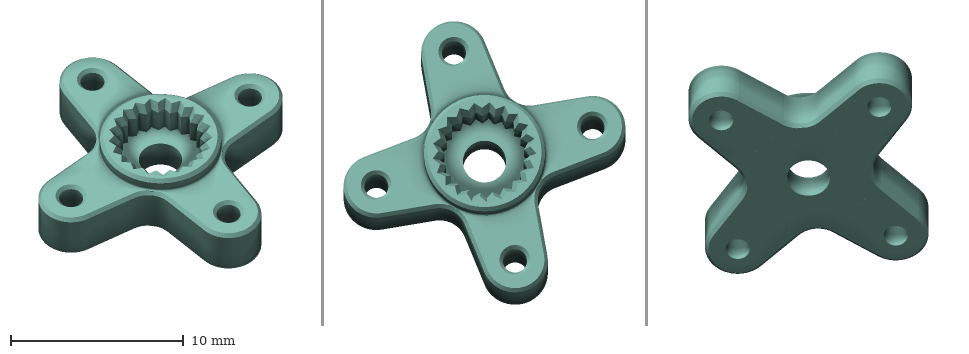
import cadquery as cq
import math

span = 16.79
arm_count = 4
plate_height = 3.0
total_height = 3.8

tip_radius = 1.9
tip_offset = span / 2 - tip_radius
core_radius = 2.57
root_fillet = 1.56
edge_chamfer = 0.2

screw_hole_diameter = 1.4
screw_hole_chamfer = 0.2
countersink_angle = 90

boss_radius = 7.0 / 2
boss_chamfer = 0.2
boss_fillet = 0.1
base_radius = boss_radius + boss_fillet
bore_diameter = 2.5

tooth_count = 21
crest_radius = 4.6 / 2
root_radius = 5.2 / 2
socket_depth = 2.0
lead_in_width = 0.3
lead_in_depth = 0.5


def polar(radius, angle, center=(0, 0)):
    return (center[0] + radius * math.cos(angle), center[1] + radius * math.sin(angle))


def horn_outline():
    """Tapered arms with round tips, joined by one concave fillet between each pair of arms."""
    turn = 2 * math.pi / arm_count
    side_angle = math.acos((core_radius - tip_radius) / tip_offset)
    fillet_orbit = (core_radius + root_fillet) / math.cos(side_angle - turn / 2)

    first_tip = polar(tip_offset, 0)
    outline = cq.Workplane("XY").moveTo(*polar(tip_radius, -side_angle, first_tip))
    for arm in range(arm_count):
        heading = arm * turn
        next_heading = heading + turn
        tip_center = polar(tip_offset, heading)
        next_tip_center = polar(tip_offset, next_heading)
        fillet_heading = heading + turn / 2
        fillet_center = polar(fillet_orbit, fillet_heading)
        fillet_start = polar(root_fillet, heading + side_angle + math.pi, fillet_center)
        fillet_middle = polar(root_fillet, fillet_heading + math.pi, fillet_center)
        fillet_end = polar(root_fillet, next_heading - side_angle + math.pi, fillet_center)
        outline = (
            outline.threePointArc(
                polar(span / 2, heading), polar(tip_radius, heading + side_angle, tip_center)
            )
            .lineTo(*fillet_start)
            .threePointArc(fillet_middle, fillet_end)
        )
        if arm < arm_count - 1:
            outline = outline.lineTo(*polar(tip_radius, next_heading - side_angle, next_tip_center))
    return outline.close()


def make_horn():
    """Four-armed plate with chamfered edges, countersunk screw holes and a hole for the insert."""
    plate = horn_outline().extrude(plate_height).faces("<Z or >Z").edges().chamfer(edge_chamfer)
    plate = (
        plate.faces(">Z")
        .workplane(origin=(0, 0, plate_height))
        .polarArray(tip_offset, 0, 360, arm_count)
        .cskHole(screw_hole_diameter, screw_hole_diameter + 2 * screw_hole_chamfer, countersink_angle)
    )
    insert_hole = cq.Workplane("XY").circle(base_radius).extrude(plate_height)
    return plate.cut(insert_hole)


def spline_points(margin):
    """Zigzag of straight flanks, one root on the +X axis, with every flank moved out by margin."""
    half_pitch = math.pi / tooth_count
    crest_x, crest_y = polar(crest_radius, half_pitch)
    flank_angle = math.atan2(crest_y, root_radius - crest_x)
    moved_root = root_radius + margin / math.sin(flank_angle)
    moved_crest = crest_radius + margin / math.sin(flank_angle + half_pitch)
    points = []
    for tooth in range(tooth_count):
        root_angle = 2 * half_pitch * tooth
        points.append(polar(moved_root, root_angle))
        points.append(polar(moved_crest, root_angle + half_pitch))
    return points


def make_socket():
    """Solid to be cut away: straight spline with a sloped lead-in at the mouth."""
    straight = (
        cq.Workplane("XY", origin=(0, 0, total_height - socket_depth))
        .polyline(spline_points(0))
        .close()
        .extrude(socket_depth)
    )
    lead_in = (
        cq.Workplane("XY", origin=(0, 0, total_height - lead_in_depth))
        .polyline(spline_points(0))
        .close()
        .workplane(offset=lead_in_depth)
        .polyline(spline_points(lead_in_width))
        .close()
        .loft(ruled=True)
    )
    return straight.union(lead_in)


def make_insert():
    """Round insert with a concave fillet below its boss, a splined socket and a through bore."""
    arc_inset = boss_fillet * (1 - math.sqrt(0.5))
    body = (
        cq.Workplane("XZ")
        .lineTo(base_radius, 0)
        .lineTo(base_radius, plate_height)
        .threePointArc(
            (boss_radius + arc_inset, plate_height + arc_inset),
            (boss_radius, plate_height + boss_fillet),
        )
        .lineTo(boss_radius, total_height - boss_chamfer)
        .lineTo(boss_radius - boss_chamfer, total_height)
        .lineTo(0, total_height)
        .close()
        .revolve(360, (0, 0, 0), (0, 1, 0))
    )
    bore = cq.Workplane("XY").circle(bore_diameter / 2).extrude(total_height)
    return body.cut(make_socket()).cut(bore)


horn = make_horn()
insert = make_insert()
result = cq.Compound.makeCompound([horn.solids().val(), insert.solids().val()])